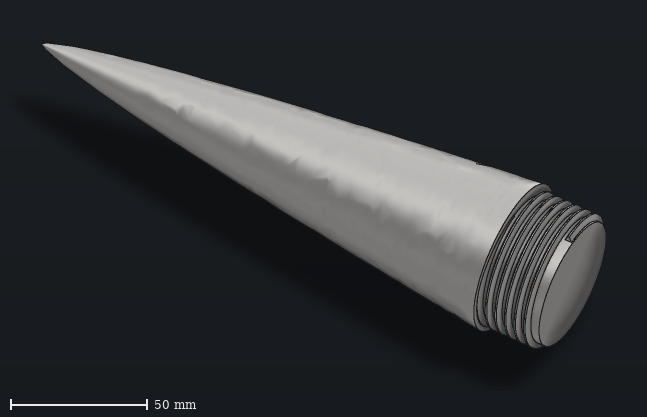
import cadquery as cq

total_length = 225.0
base_radius = 29.59
spigot_length = 25.0
nose_length = total_length - spigot_length

nose_exponent = 0.7
contour_steps = 24

core_radius = 25.0
crest_radius = 27.5
pitch = 4.0
turns = 6
thread_root_width = 3.4
thread_crest_width = 0.7
thread_end_gap = 1.8
thread_overlap = 0.7


def nose_point(step):
    """Contour point, spaced more closely near the tip."""
    fraction = (step / contour_steps) ** 2
    return nose_length * fraction, base_radius * fraction**nose_exponent


def make_nose():
    contour = [nose_point(step) for step in range(1, contour_steps + 1)]
    return (
        cq.Workplane("XY")
        .lineTo(*contour[0])
        .spline(contour[1:], includeCurrent=True)
        .lineTo(nose_length, 0)
        .close()
        .revolve(360, (0, 0), (1, 0))
    )


def make_spigot():
    return cq.Workplane("YZ", origin=(nose_length, 0, 0)).circle(core_radius).extrude(spigot_length)


def make_thread():
    """Right-hand ridge of whole turns that ends at the +Z side."""
    ridge_length = turns * pitch
    path = cq.Workplane(obj=cq.Wire.makeHelix(pitch, ridge_length, core_radius))
    sunk_radius = core_radius - thread_overlap
    half_root = thread_root_width / 2
    half_crest = thread_crest_width / 2
    ridge = (
        cq.Workplane("XZ")
        .polyline([
            (sunk_radius, -half_root),
            (crest_radius, -half_crest),
            (crest_radius, half_crest),
            (sunk_radius, half_root),
        ])
        .close()
        .sweep(path, isFrenet=True)
    )
    ridge = ridge.rotate((0, 0, 0), (0, 1, 0), 90).rotate((0, 0, 0), (1, 0, 0), 180)
    return ridge.translate((total_length - thread_end_gap - ridge_length, 0, 0))


part = make_nose().union(make_spigot()).union(make_thread())
result = part.translate((-total_length / 2, 0, 0))